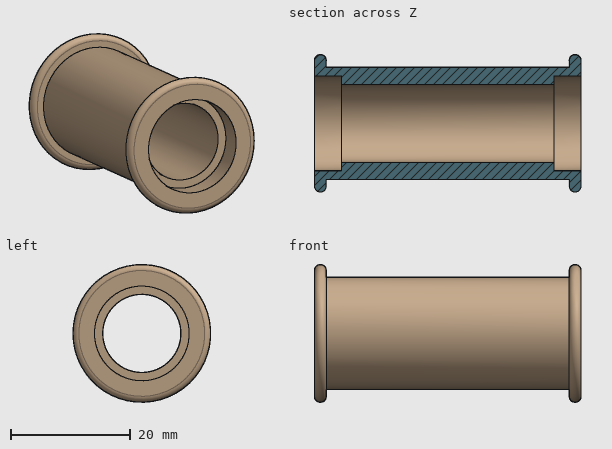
import cadquery as cq

length = 44.5
barrel_diameter = 18.8
flange_diameter = 23.0
flange_thickness = 2.0
bore_diameter = 13.0
seat_diameter = 15.8
seat_depth = 4.5

half_length = length / 2


def cylinder_along_x(diameter, start_x, depth):
    """Solid cylinder on the X axis, running from start_x toward +X."""
    return cq.Workplane("YZ", origin=(start_x, 0, 0)).circle(diameter / 2).extrude(depth)


def rounded_flange(start_x):
    """End flange with a fully rounded (semicircular) rim, revolved about X."""
    middle_x = start_x + flange_thickness / 2
    end_x = start_x + flange_thickness
    tip_radius = flange_diameter / 2
    face_radius = tip_radius - flange_thickness / 2
    profile = (
        cq.Workplane("XY")
        .moveTo(start_x, 0)
        .lineTo(start_x, face_radius)
        .threePointArc((middle_x, tip_radius), (end_x, face_radius))
        .lineTo(end_x, 0)
        .close()
    )
    return profile.revolve(360, (0, 0, 0), (1, 0, 0))


body = cylinder_along_x(barrel_diameter, -half_length, length)
for flange_start in (-half_length, half_length - flange_thickness):
    body = body.union(rounded_flange(flange_start))

body = body.cut(cylinder_along_x(bore_diameter, -half_length, length))

for seat_start in (-half_length, half_length - seat_depth):
    body = body.cut(cylinder_along_x(seat_diameter, seat_start, seat_depth))

result = body